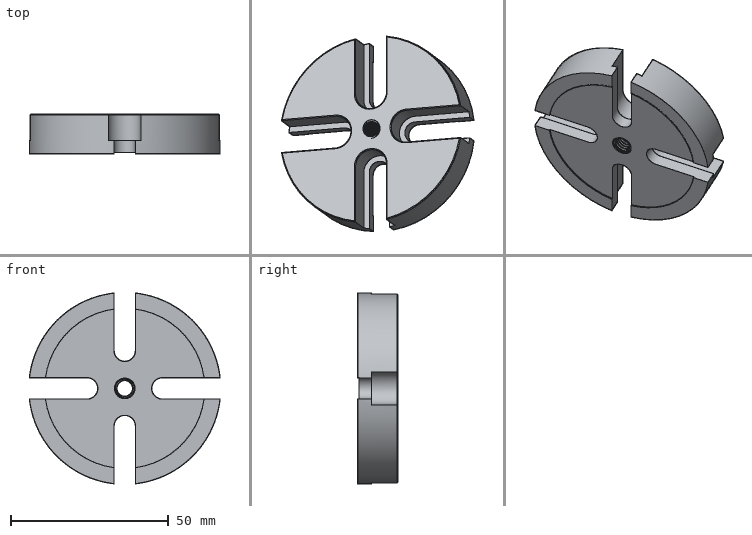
import cadquery as cq
import math

INCH = 25.4

disc_radius = 1.2 * INCH
thickness = 0.5 * INCH
back_chamfer = 0.3

recess_radius = 1.0 * INCH
recess_depth = 0.38

slot_count = 4
slot_width = 6.7
wide_slot_width = 10.4
wide_slot_depth = 8.4
slot_end_center = 11.95

thread_major_diameter = 6.0
thread_pitch = 1.0
thread_minor_diameter = 4.95
thread_flank_angle = 30
thread_root_flat = thread_pitch / 8
thread_overlap = 0.1
countersink_diameter = 6.5
countersink_depth = 0.25


def cylinder(radius, y_start, y_end):
    """Solid cylinder on the Y axis."""
    return cq.Workplane("XZ", origin=(0, y_start, 0)).circle(radius).extrude(y_start - y_end)


def radial_slot(width, y_start, y_end):
    """Slot along +X with a rounded inner end, running out past the rim."""
    half_width = width / 2
    outer_end = disc_radius + half_width
    return (
        cq.Workplane("XZ", origin=(0, y_start, 0))
        .moveTo(outer_end, half_width)
        .lineTo(slot_end_center, half_width)
        .threePointArc((slot_end_center - half_width, 0), (slot_end_center, -half_width))
        .lineTo(outer_end, -half_width)
        .close()
        .extrude(y_start - y_end)
    )


def stepped_slot():
    """Narrow slot through the disc, widened from the back face."""
    narrow = radial_slot(slot_width, 0, thickness)
    wide = radial_slot(wide_slot_width, thickness - wide_slot_depth, thickness)
    return narrow.union(wide)


def thread_groove():
    """Helical groove with 60 degree flanks, running out past both faces."""
    minor_radius = thread_minor_diameter / 2
    major_radius = thread_major_diameter / 2
    inner_radius = minor_radius - thread_overlap
    root_half = thread_root_flat / 2
    flank_rise = (major_radius - inner_radius) * math.tan(math.radians(thread_flank_angle))
    mouth_half = root_half + flank_rise
    length = thickness + 2 * thread_pitch
    helix = cq.Wire.makeHelix(thread_pitch, length, minor_radius)
    groove = (
        cq.Workplane("XZ")
        .polyline(
            [
                (inner_radius, -mouth_half),
                (major_radius, -root_half),
                (major_radius, root_half),
                (inner_radius, mouth_half),
            ]
        )
        .close()
        .sweep(cq.Workplane(obj=helix), isFrenet=True)
    )
    return groove.rotate((0, 0, 0), (1, 0, 0), -90).translate((0, -thread_pitch, 0))


def countersink():
    """45 degree cone that opens the threaded hole at the recess floor."""
    mouth_radius = countersink_diameter / 2
    cone = cq.Solid.makeCone(
        mouth_radius,
        mouth_radius - countersink_depth,
        countersink_depth,
        pnt=cq.Vector(0, recess_depth, 0),
        dir=cq.Vector(0, 1, 0),
    )
    return cq.Workplane(obj=cone)


body = cylinder(disc_radius, 0, thickness)

for index in range(slot_count):
    angle = index * 360 / slot_count
    body = body.cut(stepped_slot().rotate((0, 0, 0), (0, 1, 0), angle))

body = body.faces(">Y").chamfer(back_chamfer)
body = body.cut(cylinder(recess_radius, 0, recess_depth))
body = body.cut(thread_groove())
body = body.cut(cylinder(thread_minor_diameter / 2, 0, thickness))
result = body.cut(countersink())